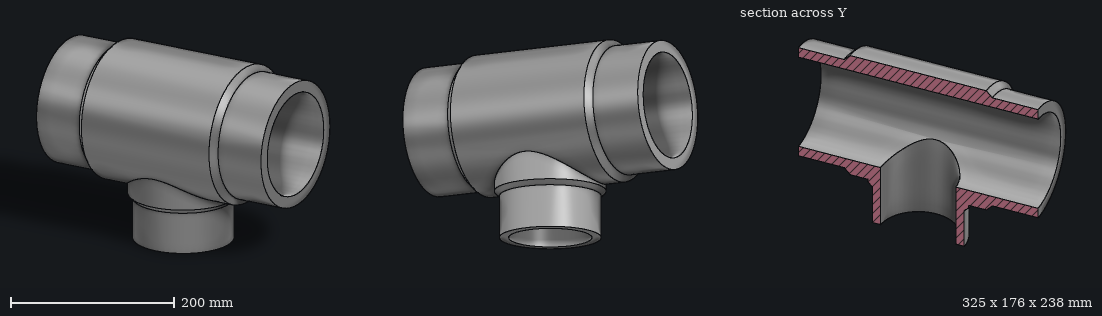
import cadquery as cq

run_length = 325.0
run_diameter = 160.0
run_bore = 130.5
sleeve_diameter = 176.0
run_spigot_length = 62.0
sleeve_length = run_length - 2 * run_spigot_length
sleeve_chamfer = (sleeve_diameter - run_diameter) / 2

total_height = 238.0
branch_length = total_height - sleeve_diameter / 2
branch_diameter = 125.0
branch_bore = 102.0
collar_diameter = 137.5
branch_spigot_length = 52.3
collar_length = branch_length - branch_spigot_length
collar_chamfer = (collar_diameter - branch_diameter) / 2


def run_cylinder(diameter, length):
    """Cylinder along X, centred on the origin."""
    return cq.Workplane("YZ", origin=(-length / 2, 0, 0)).circle(diameter / 2).extrude(length)


def branch_cylinder(diameter, length):
    """Cylinder from the run axis down along -Z."""
    return cq.Workplane("XY").circle(diameter / 2).extrude(-length)


sleeve = run_cylinder(sleeve_diameter, sleeve_length).edges().chamfer(sleeve_chamfer)
collar = branch_cylinder(collar_diameter, collar_length).faces("<Z").edges().chamfer(collar_chamfer)
body = (
    run_cylinder(run_diameter, run_length)
    .union(sleeve)
    .union(branch_cylinder(branch_diameter, branch_length))
    .union(collar)
)

result = body.cut(run_cylinder(run_bore, run_length)).cut(branch_cylinder(branch_bore, branch_length))